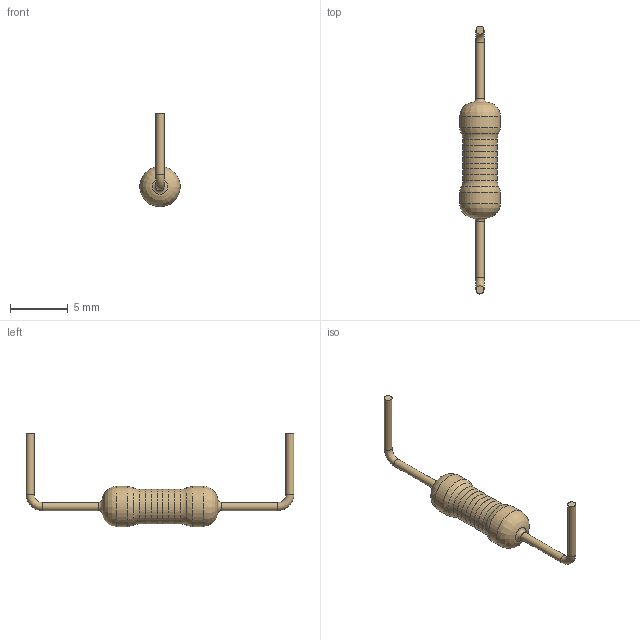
import cadquery as cq
import math


lead_radius = 0.35
lead_half_span = 11.25
lead_top = 6.35
bend_radius = 3 * lead_radius

cap_radius = 1.75
neck_radius = 1.5
body_half_length = 5.0
dome_radius = 1.2
flare_radius = lead_radius
cap_inner_end = 2.8
neck_half_length = 1.8

band_radius = 1.49
band_count = 3
stripe_count = 2 * band_count + 1
band_width = 2 * neck_half_length / stripe_count

dome_center_r = cap_radius - dome_radius
dome_center_y = body_half_length - dome_radius
flare_center_r = lead_radius + flare_radius
center_distance = dome_radius + flare_radius
center_offset_r = flare_center_r - dome_center_r
center_offset_y = math.sqrt(center_distance**2 - center_offset_r**2)
flare_end = dome_center_y + center_offset_y
touch_r = dome_center_r + center_offset_r * dome_radius / center_distance
touch_y = dome_center_y + center_offset_y * dome_radius / center_distance

shoulder_mid_r = (cap_radius + neck_radius) / 2
shoulder_mid_y = (cap_inner_end + neck_half_length) / 2


def half_body():
    """Half of the body on the +Y side, revolved about Y."""
    profile = (
        cq.Workplane("XY")
        .lineTo(neck_radius, 0)
        .lineTo(neck_radius, neck_half_length)
        .tangentArcPoint((shoulder_mid_r, shoulder_mid_y), relative=False)
        .tangentArcPoint((cap_radius, cap_inner_end), relative=False)
        .lineTo(cap_radius, dome_center_y)
        .tangentArcPoint((touch_r, touch_y), relative=False)
        .tangentArcPoint((lead_radius, flare_end), relative=False)
        .lineTo(0, flare_end)
        .close()
    )
    return profile.revolve(360, (0, 0, 0), (0, 1, 0))


def band_groove(center_y):
    """Ring of neck material removed to leave a shallow colour band."""
    far_face_y = center_y + band_width / 2
    ring = cq.Workplane("XZ", origin=(0, far_face_y, 0)).circle(cap_radius).circle(band_radius)
    return ring.extrude(band_width)


def lead():
    """Lead on the +Y side: straight run out of the flare, quarter bend, upright."""
    path = (
        cq.Workplane("YZ")
        .moveTo(flare_end, 0)
        .lineTo(lead_half_span - bend_radius, 0)
        .tangentArcPoint((lead_half_span, bend_radius), relative=False)
        .lineTo(lead_half_span, lead_top)
    )
    section = cq.Workplane("XZ", origin=(0, flare_end, 0)).circle(lead_radius)
    return section.sweep(path)


half_resistor = half_body().union(lead())
result = half_resistor.union(half_resistor.mirror("XZ"))

for index in range(band_count):
    band_y = (index - (band_count - 1) / 2) * 2 * band_width
    result = result.cut(band_groove(band_y))